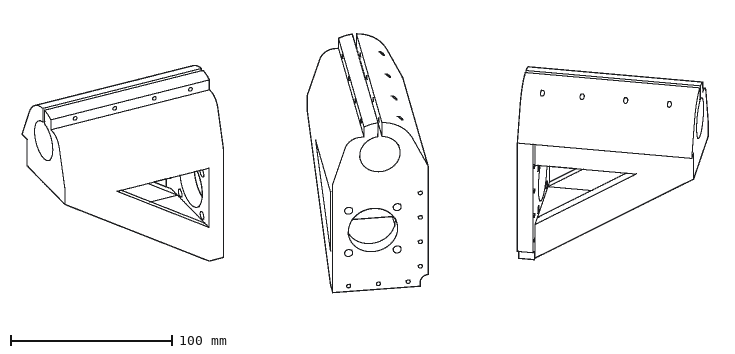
import cadquery as cq
import math

width = 60.0
length = 110.0

bore_x = 30.35
bore_z = 97.4
bore_diameter = 25.4
head_radius = 22.6
slot_width = 2.5
step_offset = 10.0
step_x = bore_x + step_offset
step_z = 110.5
left_shoulder_z = 86.0
right_shoulder_z = 78.2
shoulder_top_x = 50.0
shoulder_radius = 10.0
head_bottom_z = 67.0

screw_hole_diameter = 2.53
screw_z = 114.3
screw_distances_from_back = [13.2, 38.2, 65.7, 93.2]

plate_thickness = 10.0
brace_left_x = 7.0
brace_height = 24.3

motor_x = 34.75
motor_z = 43.0
motor_bore_diameter = 31.0
motor_hole_spacing = 30.5
motor_hole_diameter = 5.0

window_left_x = 15.8
window_right_x = 54.0
window_top_z = 63.3

fixing_hole_diameter = 2.53
side_holes_x = 5.0
side_holes_bottom_z = 14.4
side_holes_pitch = 17.6
side_holes_count = 4
foot_holes_z = 4.0
foot_holes_left_x = 12.6
foot_holes_pitch = 18.7
foot_holes_count = 3

notch_radius = 5.0
notch_centre_z = 3.0

brace_slope = head_bottom_z / (length - plate_thickness)


def hole_along_y(x, z, diameter):
    """Cylinder through the full length of the part."""
    return cq.Workplane("XZ").center(x, z).circle(diameter / 2).extrude(length)


def box_between(x0, x1, y0, y1, z0, z1):
    """Box given by its limits on each axis."""
    return cq.Workplane("XY").box(x1 - x0, y1 - y0, z1 - z0, centered=False).translate((x0, y0, z0))


def head_arc_point(angle):
    """Point on the rounded top of the head, angle measured from +X."""
    return (bore_x + head_radius * math.cos(angle), bore_z + head_radius * math.sin(angle))


def make_head():
    shoulder_dx = -bore_x
    shoulder_dz = left_shoulder_z - bore_z
    shoulder_distance = math.hypot(shoulder_dx, shoulder_dz)
    shoulder_angle = math.atan2(shoulder_dz, shoulder_dx) + 2 * math.pi
    tangent_angle = shoulder_angle - math.acos(head_radius / shoulder_distance)
    step_angle = math.acos(step_offset / head_radius)

    head = (
        cq.Workplane("XZ")
        .moveTo(0, left_shoulder_z)
        .lineTo(*head_arc_point(tangent_angle))
        .threePointArc(head_arc_point(math.pi / 2), head_arc_point(step_angle))
        .lineTo(step_x, step_z)
        .lineTo(shoulder_top_x, step_z)
        .lineTo(width, right_shoulder_z)
        .lineTo(width, head_bottom_z)
        .lineTo(brace_left_x, head_bottom_z)
        .lineTo(brace_left_x, left_shoulder_z)
        .close()
        .extrude(length)
    )
    shoulder_edge = cq.selectors.NearestToPointSelector((shoulder_top_x, -length / 2, step_z))
    return head.edges(shoulder_edge).fillet(shoulder_radius)


def make_back_plate():
    margin = box_between(0, brace_left_x, -plate_thickness, 0, 0, left_shoulder_z)
    panel = box_between(brace_left_x, width, -plate_thickness, 0, 0, head_bottom_z)
    return margin.union(panel)


def make_brace():
    opening_run = (head_bottom_z - brace_height) / brace_slope
    brace = (
        cq.Workplane("YZ")
        .moveTo(-plate_thickness, 0)
        .lineTo(-length, head_bottom_z)
        .lineTo(-plate_thickness - opening_run, head_bottom_z)
        .lineTo(-plate_thickness, brace_height)
        .close()
        .extrude(width - brace_left_x)
        .translate((brace_left_x, 0, 0))
    )
    window = box_between(
        window_left_x, window_right_x, -length, -plate_thickness, brace_height, window_top_z
    )
    return brace.cut(window)


def cut_notch(body):
    round_part = hole_along_y(0, notch_centre_z, 2 * notch_radius)
    square_part = box_between(0, notch_radius, -plate_thickness, 0, 0, notch_centre_z)
    return body.cut(round_part).cut(square_part)


def cut_clamp(body):
    slot = box_between(
        bore_x - slot_width / 2, bore_x + slot_width / 2, -length, 0, bore_z, bore_z + head_radius
    )
    body = body.cut(hole_along_y(bore_x, bore_z, bore_diameter)).cut(slot)
    for distance in screw_distances_from_back:
        screw_axis = cq.Workplane("YZ").center(-distance, screw_z)
        body = body.cut(screw_axis.circle(screw_hole_diameter / 2).extrude(width))
    return body


def cut_motor_mount(body):
    body = body.cut(hole_along_y(motor_x, motor_z, motor_bore_diameter))
    for side in (-1, 1):
        for level in (-1, 1):
            x = motor_x + side * motor_hole_spacing / 2
            z = motor_z + level * motor_hole_spacing / 2
            body = body.cut(hole_along_y(x, z, motor_hole_diameter))
    return body


def cut_fixing_holes(body):
    for i in range(side_holes_count):
        z = side_holes_bottom_z + i * side_holes_pitch
        body = body.cut(hole_along_y(side_holes_x, z, fixing_hole_diameter))
    for i in range(foot_holes_count):
        x = foot_holes_left_x + i * foot_holes_pitch
        body = body.cut(hole_along_y(x, foot_holes_z, fixing_hole_diameter))
    return body


body = make_head().union(make_back_plate()).union(make_brace())
body = cut_notch(body)
body = cut_clamp(body)
body = cut_motor_mount(body)
result = cut_fixing_holes(body)